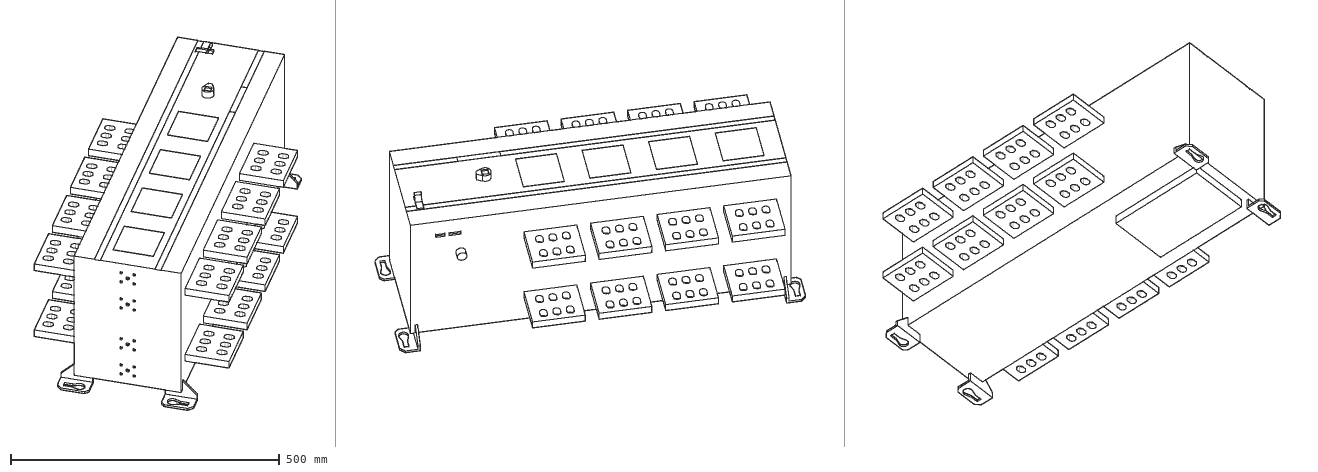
import cadquery as cq
import math

BODY_WIDTH = 207.0
BODY_LENGTH = 722.0
BODY_HEIGHT = 274.0
BODY_BOTTOM = 21.0
BODY_TOP = BODY_BOTTOM + BODY_HEIGHT
BODY_LEFT = -BODY_WIDTH / 2
BODY_FRONT = -BODY_LENGTH / 2
TOP_RELIEF = 1.0
HINGE_RELIEF = 0.4

STRIP_WIDTH = 11.5
STRIP_OFFSET = 58.5
HINGE_LENGTH = 82.0
HINGE_Y = 200.0
WINDOW_SIDE = 78.0

OVERALL_WIDTH = 376.5
BAR_WIDTH = 100.0
BAR_THICKNESS = 15.5
BAR_PITCH = 126.0
BAR_COUNT = 4
FIRST_BAR_Y = -283.0
BAR_YS = [FIRST_BAR_Y + i * BAR_PITCH for i in range(BAR_COUNT)]
LOWER_BAR_Z = 82.0
UPPER_BAR_Z = 233.0
BAR_ZS = (LOWER_BAR_Z, UPPER_BAR_Z)
BAR_SLOT_LENGTH = 19.0
BAR_SLOT_WIDTH = 14.0
BAR_SLOT_XS = (128.5, 168.0)
BAR_SLOT_PITCH = 25.5

OVERALL_LENGTH = 770.0
FOOT_THICKNESS = 5.0
FOOT_INNER_X = 70.0
FOOT_OUTER_X = 132.0
FOOT_TIP_Y = OVERALL_LENGTH / 2
FOOT_HEEL_Y = 347.0
FOOT_HEIGHT = 42.0
FOOT_EDGE_HEIGHT = 13.0
FOOT_OUTER_CHAMFER = 9.0
FOOT_INNER_CHAMFER = 7.0
KEYHOLE_Y = 371.0
KEYHOLE_X = 89.0
KEYHOLE_DIAMETER = 18.5
KEYHOLE_SLOT_WIDTH = 9.0
KEYHOLE_SLOT_END_X = 120.0
KEYHOLE_TAPER_START_X = 93.0
KEYHOLE_TAPER_END_X = 104.0

BASE_WIDTH = 124.0
BASE_BACK_Y = 341.0
BASE_FRONT_Y = 138.0
BASE_BOTTOM = 2.0

CLUSTER_OFFSET_Z = 30.0
CORNER_HOLE_DIAMETER = 5.0
CENTRE_HOLE_DIAMETER = 6.0
CORNER_SPACING_X = 25.5
CORNER_SPACING_Z = 21.0
SCREW_HOLE_DEPTH = 4.0

CONTROL_HEIGHT = 14.0
BUTTON_DIAMETER = 18.5
BUTTON_Y = 266.0
BUTTON_Z = 212.0
SOCKET_HEIGHT = 7.0
SOCKET_DEPTH = 4.0
SOCKET_Z = 259.5
SOCKETS = ((304.0, 17.0), (276.5, 22.0))

KNOB_DIAMETER = 22.0
KNOB_Y = 199.5
KNOB_SOCKET_SIDE = 12.0
KNOB_SOCKET_DEPTH = 3.0
POINTER_TIP_Y = 216.0
POINTER_TIP_WIDTH = 8.0
POINTER_ROOT_WIDTH = 18.5
POINTER_ROOT_Y = 206.0

LEVER_Y = 333.5
LEVER_WIDTH = 13.0
LEVER_RECESS_LEFT = -60.0
LEVER_RECESS_RIGHT = -27.0
LEVER_RECESS_DEPTH = 3.0
LEVER_FOOT_X = -40.0
LEVER_TIP_X = -32.0
LEVER_THICKNESS = 3.0
LEVER_TIP_DIAMETER = 5.5


def box(x_min, x_max, y_min, y_max, z_min, z_max):
    """Axis-aligned block between the given limits."""
    block = cq.Workplane("XY").box(x_max - x_min, y_max - y_min, z_max - z_min, centered=False)
    return block.translate((x_min, y_min, z_min))


def make_body():
    body = box(BODY_LEFT, -BODY_LEFT, BODY_FRONT, -BODY_FRONT, BODY_BOTTOM, BODY_TOP)
    base = box(-BASE_WIDTH / 2, BASE_WIDTH / 2, BASE_FRONT_Y, BASE_BACK_Y, BASE_BOTTOM, BODY_BOTTOM)
    return body.union(base)


def make_top_relief():
    """Shallow strips and windows sunk into the top; the hinge leaf lies in the +X strip."""
    sketch = cq.Workplane("XY").workplane(offset=BODY_TOP - TOP_RELIEF)
    strip_xs = [(-STRIP_OFFSET, 0), (STRIP_OFFSET, 0)]
    strips = sketch.pushPoints(strip_xs).rect(STRIP_WIDTH, BODY_LENGTH).extrude(TOP_RELIEF)
    hinge = sketch.center(STRIP_OFFSET, HINGE_Y).rect(STRIP_WIDTH, HINGE_LENGTH)
    hinge = hinge.extrude(TOP_RELIEF - HINGE_RELIEF)
    window_centres = [(0, y) for y in BAR_YS]
    windows = sketch.pushPoints(window_centres).rect(WINDOW_SIDE, WINDOW_SIDE).extrude(TOP_RELIEF)
    return strips.cut(hinge).union(windows)


def make_bar(y, z):
    """Terminal bar through the body with six slotted holes at each end."""
    slot_centres = [
        (side * x, row * BAR_SLOT_PITCH) for side in (-1, 1) for x in BAR_SLOT_XS for row in (-1, 0, 1)
    ]
    bar = cq.Workplane("XY").box(OVERALL_WIDTH, BAR_WIDTH, BAR_THICKNESS)
    slots = (
        cq.Workplane("XY")
        .pushPoints(slot_centres)
        .slot2D(BAR_SLOT_LENGTH, BAR_SLOT_WIDTH)
        .extrude(BAR_THICKNESS, both=True)
    )
    return bar.cut(slots).translate((0, y, z))


def make_foot():
    """Angle bracket at the +X, +Y corner: plate with a tapered keyhole and upright flange."""
    plate = (
        cq.Workplane("XY")
        .moveTo(FOOT_INNER_X, FOOT_HEEL_Y)
        .lineTo(FOOT_OUTER_X, FOOT_HEEL_Y)
        .lineTo(FOOT_OUTER_X, FOOT_TIP_Y - FOOT_OUTER_CHAMFER)
        .lineTo(FOOT_OUTER_X - FOOT_OUTER_CHAMFER, FOOT_TIP_Y)
        .lineTo(FOOT_INNER_X + FOOT_INNER_CHAMFER, FOOT_TIP_Y)
        .lineTo(FOOT_INNER_X, FOOT_TIP_Y - FOOT_INNER_CHAMFER)
        .close()
        .extrude(FOOT_THICKNESS)
    )
    keyhole = cq.Workplane("XY").center(KEYHOLE_X, KEYHOLE_Y).circle(KEYHOLE_DIAMETER / 2)
    keyhole = keyhole.extrude(FOOT_THICKNESS)
    half_slot = KEYHOLE_SLOT_WIDTH / 2
    half_mouth = math.sqrt((KEYHOLE_DIAMETER / 2) ** 2 - (KEYHOLE_TAPER_START_X - KEYHOLE_X) ** 2)
    slot = (
        cq.Workplane("XY", origin=(0, KEYHOLE_Y, 0))
        .moveTo(KEYHOLE_TAPER_START_X, half_mouth)
        .lineTo(KEYHOLE_TAPER_END_X, half_slot)
        .lineTo(KEYHOLE_SLOT_END_X, half_slot)
        .lineTo(KEYHOLE_SLOT_END_X, -half_slot)
        .lineTo(KEYHOLE_TAPER_END_X, -half_slot)
        .lineTo(KEYHOLE_TAPER_START_X, -half_mouth)
        .close()
        .extrude(FOOT_THICKNESS)
    )
    flange_top_x = FOOT_OUTER_X - (FOOT_HEIGHT - FOOT_EDGE_HEIGHT)
    flange = (
        cq.Workplane("XZ", origin=(0, FOOT_HEEL_Y + FOOT_THICKNESS, 0))
        .moveTo(FOOT_INNER_X, 0)
        .lineTo(FOOT_OUTER_X, 0)
        .lineTo(FOOT_OUTER_X, FOOT_EDGE_HEIGHT)
        .lineTo(flange_top_x, FOOT_HEIGHT)
        .lineTo(FOOT_INNER_X, FOOT_HEIGHT)
        .close()
        .extrude(FOOT_THICKNESS)
    )
    return plate.cut(keyhole).cut(slot).union(flange)


def make_screw_holes():
    face = cq.Workplane("XZ", origin=(0, BODY_FRONT + SCREW_HOLE_DEPTH, 0))
    cluster_zs = [z + side * CLUSTER_OFFSET_Z for z in BAR_ZS for side in (-1, 1)]
    centres = [(0, z) for z in cluster_zs]
    corners = [
        (i * CORNER_SPACING_X / 2, z + j * CORNER_SPACING_Z / 2)
        for z in cluster_zs
        for i in (-1, 1)
        for j in (-1, 1)
    ]
    centre_holes = face.pushPoints(centres).circle(CENTRE_HOLE_DIAMETER / 2).extrude(SCREW_HOLE_DEPTH)
    corner_holes = face.pushPoints(corners).circle(CORNER_HOLE_DIAMETER / 2).extrude(SCREW_HOLE_DEPTH)
    return centre_holes.union(corner_holes)


def make_side_sockets():
    sockets = cq.Workplane("XY")
    for y, length in SOCKETS:
        socket = cq.Workplane("XY").box(2 * SOCKET_DEPTH, length, SOCKET_HEIGHT)
        sockets = sockets.add(socket.translate((BODY_LEFT, y, SOCKET_Z)))
    return sockets.combine()


def make_button():
    button = cq.Workplane("YZ", origin=(BODY_LEFT, BUTTON_Y, BUTTON_Z)).circle(BUTTON_DIAMETER / 2)
    return button.extrude(-CONTROL_HEIGHT)


def make_knob():
    """Round knob with a tapered pointer toward +Y and a square socket in its top."""
    sketch = cq.Workplane("XY", origin=(0, KNOB_Y, BODY_TOP))
    pointer = (
        sketch.moveTo(-POINTER_ROOT_WIDTH / 2, POINTER_ROOT_Y - KNOB_Y)
        .lineTo(POINTER_ROOT_WIDTH / 2, POINTER_ROOT_Y - KNOB_Y)
        .lineTo(POINTER_TIP_WIDTH / 2, POINTER_TIP_Y - KNOB_Y)
        .lineTo(-POINTER_TIP_WIDTH / 2, POINTER_TIP_Y - KNOB_Y)
        .close()
        .extrude(CONTROL_HEIGHT)
    )
    knob = sketch.circle(KNOB_DIAMETER / 2).extrude(CONTROL_HEIGHT).union(pointer)
    knob_top = cq.Workplane("XY", origin=(0, KNOB_Y, BODY_TOP + CONTROL_HEIGHT))
    socket = knob_top.rect(KNOB_SOCKET_SIDE, KNOB_SOCKET_SIDE).extrude(-KNOB_SOCKET_DEPTH)
    return knob.cut(socket)


def make_lever_recess():
    half = LEVER_WIDTH / 2
    floor = BODY_TOP - LEVER_RECESS_DEPTH
    return box(LEVER_RECESS_LEFT, LEVER_RECESS_RIGHT, LEVER_Y - half, LEVER_Y + half, floor, BODY_TOP)


def make_lever():
    """Leaning blade that ends in a round bead along Y."""
    floor = BODY_TOP - LEVER_RECESS_DEPTH
    tip_z = BODY_TOP + CONTROL_HEIGHT - LEVER_TIP_DIAMETER / 2
    sketch = cq.Workplane("XZ", origin=(0, LEVER_Y + LEVER_WIDTH / 2, 0))
    blade = (
        sketch.moveTo(LEVER_FOOT_X, floor)
        .lineTo(LEVER_FOOT_X + LEVER_THICKNESS, floor)
        .lineTo(LEVER_TIP_X + LEVER_THICKNESS / 2, tip_z)
        .lineTo(LEVER_TIP_X - LEVER_THICKNESS / 2, tip_z)
        .close()
        .extrude(LEVER_WIDTH)
    )
    bead = sketch.center(LEVER_TIP_X, tip_z).circle(LEVER_TIP_DIAMETER / 2).extrude(LEVER_WIDTH)
    return blade.union(bead)


result = make_body().cut(make_top_relief()).cut(make_screw_holes()).cut(make_side_sockets())
result = result.cut(make_lever_recess()).union(make_lever())
result = result.union(make_button()).union(make_knob())

for bar_y in BAR_YS:
    for bar_z in BAR_ZS:
        result = result.union(make_bar(bar_y, bar_z))

right_back_foot = make_foot()
right_front_foot = right_back_foot.mirror("XZ")
for foot in (right_back_foot, right_front_foot):
    result = result.union(foot).union(foot.mirror("YZ"))